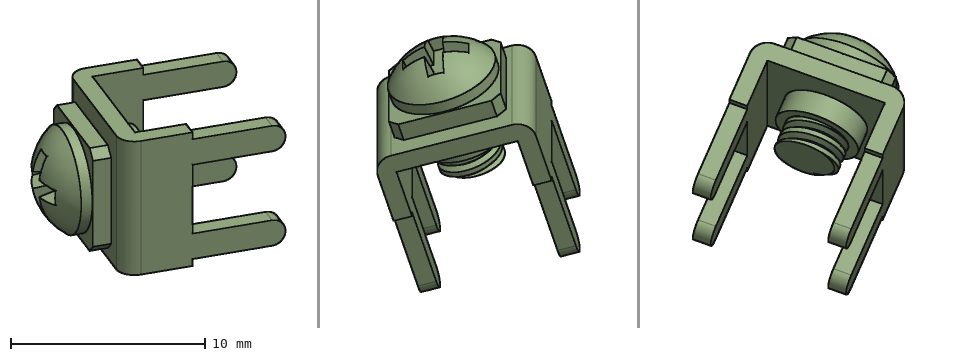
import cadquery as cq
import math


bracket_width = 8.5
bracket_height = 7.8
wall = 1.0
web_thickness = 1.03
corner_radius = wall
leg_length = 3.82
prong_tip_y = 8.92
prong_width = 1.49
prong_spacing = 5.51
boss_diameter = 4.6
boss_length = 1.27

thread_diameter = 3.5
plate_gap = 0.18
plate_side = 6.0
plate_chamfer = 0.5
plate_thickness = 1.0
head_diameter = 5.8
head_rim = 0.61
dome_height = 1.5
plate_back_y = -plate_gap
plate_front_y = plate_back_y - plate_thickness
rim_front_y = plate_front_y - head_rim
dome_apex_y = rim_front_y - dome_height

thread_pitch = 0.7
groove_width = 0.41
groove_depth = 0.32
groove_overrun = 0.06
groove_lead = 0.27
groove_turns = 8
turns_before_last_root = 6
blank_allowance = 2.43

recess_arm_length = 3.37
recess_arm_width = 0.64
recess_depth = 1.15
recess_side_taper = 9.0
recess_end_taper = 7.0
recess_overrun = 0.24


def along_y(solid):
    """Turn a body built along +Z so that it runs along +Y."""
    return solid.rotate((0, 0, 0), (1, 0, 0), -90)


def y_cylinder(diameter, start_y, end_y):
    cylinder = cq.Workplane("XY").workplane(offset=start_y).circle(diameter / 2).extrude(end_y - start_y)
    return along_y(cylinder)


def make_prong(leg_x, prong_z):
    """Flat solder prong with a half-round tip, rooted in the leg end."""
    radius = prong_width / 2
    return (
        cq.Workplane("YZ")
        .workplane(offset=leg_x)
        .moveTo(leg_length, prong_z - radius)
        .lineTo(prong_tip_y - radius, prong_z - radius)
        .threePointArc((prong_tip_y, prong_z), (prong_tip_y - radius, prong_z + radius))
        .lineTo(leg_length, prong_z + radius)
        .close()
        .extrude(wall)
    )


def make_bracket():
    outer = (
        cq.Workplane("XY")
        .box(bracket_width, leg_length, bracket_height, centered=(True, False, True))
        .edges("|Z and <Y")
        .fillet(corner_radius)
    )
    inside = (
        cq.Workplane("XY")
        .box(bracket_width - 2 * wall, leg_length, bracket_height, centered=(True, False, True))
        .translate((0, web_thickness, 0))
    )
    bracket = outer.cut(inside)
    for leg_x in (-bracket_width / 2, bracket_width / 2 - wall):
        for prong_z in (-prong_spacing / 2, prong_spacing / 2):
            bracket = bracket.union(make_prong(leg_x, prong_z))

    boss_end_y = web_thickness + boss_length
    bracket = bracket.union(y_cylinder(boss_diameter, web_thickness, boss_end_y))
    return bracket.cut(y_cylinder(thread_diameter, 0, boss_end_y))


def make_thread_groove():
    """Right-handed helical V cutter that starts on the +X side."""
    crest_radius = thread_diameter / 2
    root_radius = crest_radius - groove_depth
    cutter_radius = crest_radius + groove_overrun
    half_width = groove_width / 2 * (groove_depth + groove_overrun) / groove_depth
    start = leg_length - groove_lead - turns_before_last_root * thread_pitch
    helix = cq.Wire.makeHelix(thread_pitch, groove_turns * thread_pitch, crest_radius, cq.Vector(0, 0, start))
    groove = (
        cq.Workplane("XZ")
        .polyline(
            [
                (root_radius, start),
                (cutter_radius, start - half_width),
                (cutter_radius, start + half_width),
            ]
        )
        .close()
        .sweep(cq.Workplane(obj=helix), isFrenet=True)
    )
    return along_y(groove)


def make_shank():
    """Threaded shank: the groove is cut in an overlong blank, then both ends are trimmed flat."""
    blank_start = plate_back_y - blank_allowance
    blank_end = leg_length + blank_allowance
    blank = y_cylinder(thread_diameter, blank_start, blank_end).cut(make_thread_groove())
    trim = cq.Workplane("XY").box(
        2 * thread_diameter, leg_length - plate_back_y, 2 * thread_diameter, centered=(True, False, True)
    )
    return blank.intersect(trim.translate((0, plate_back_y, 0)))


def make_head():
    """Short rim with a spherical dome."""
    head_radius = head_diameter / 2
    dome_radius = (head_radius**2 + dome_height**2) / (2 * dome_height)
    half_angle = math.asin(head_radius / dome_radius) / 2
    dome_center_y = dome_apex_y + dome_radius
    dome_middle = (
        dome_radius * math.sin(half_angle),
        dome_center_y - dome_radius * math.cos(half_angle),
    )
    return (
        cq.Workplane("XY")
        .moveTo(0, plate_front_y)
        .lineTo(head_radius, plate_front_y)
        .lineTo(head_radius, rim_front_y)
        .threePointArc(dome_middle, (0, dome_apex_y))
        .close()
        .revolve(360, (0, 0, 0), (0, 1, 0))
    )


def make_recess():
    """Cross-shaped cutter that widens from its floor toward -Y."""
    floor_plane = cq.Workplane("XZ").workplane(offset=-(dome_apex_y + recess_depth))
    length = recess_depth + recess_overrun
    mouth_arm_width = recess_arm_width + 2 * length * math.tan(math.radians(recess_side_taper))
    mouth_arm_length = recess_arm_length + 2 * length * math.tan(math.radians(recess_end_taper))

    across = (
        floor_plane.rect(recess_arm_length, recess_arm_width)
        .workplane(offset=length)
        .rect(mouth_arm_length, mouth_arm_width)
        .loft(ruled=True)
    )
    upright = across.rotate((0, 0, 0), (0, 1, 0), 90)
    return across.union(upright)


def make_screw():
    shank = make_shank()
    plate = (
        cq.Workplane("XZ")
        .workplane(offset=-plate_back_y)
        .rect(plate_side, plate_side)
        .extrude(plate_thickness)
        .edges("|Y")
        .chamfer(plate_chamfer)
    )
    return shank.union(plate).union(make_head()).cut(make_recess())


bracket = make_bracket()
screw = make_screw()

result = cq.Compound.makeCompound([bracket.solids().val(), screw.solids().val()])